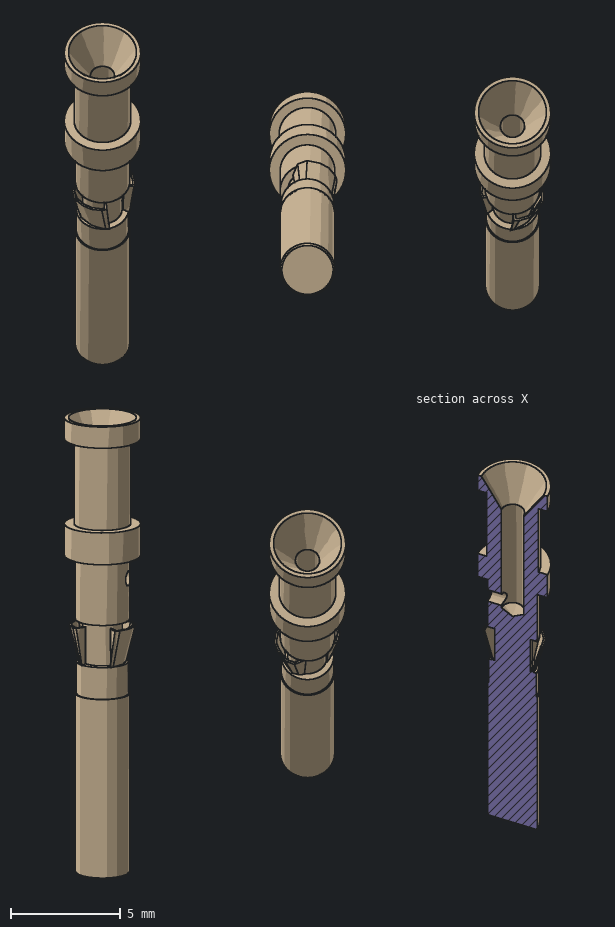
import math

import cadquery as cq

Z_BODY_TOP = 8.5
Z_COLLAR_TOP = 10.0
Z_FINGER_TOP = 11.75
Z_CORE_TOP = 12.0
Z_STOP_BOTTOM = 15.0
Z_STOP_TOP = 16.5
Z_RIM_BOTTOM = 20.5
Z_TOP = 21.5

BODY_D = 2.5
COLLAR_D = 2.4
CORE_D = 1.8
NECK_D = 2.5
BARREL_D = 2.6
FLANGE_D = 3.5
TIP_CHAMFER = 0.08

FUNNEL_D = 3.1
FUNNEL_ANGLE = 60.0
BORE_D = 1.1
BORE_FLOOR_Z = 13.5
DRILL_POINT_ANGLE = 118.0
INSPECTION_D = 0.7
INSPECTION_Z = 14.0

FINGER_WALL = 0.1
FINGER_GAP = 1.2
FINGER_BASE_CORNERS = [
    (-0.73, -0.60),
    (-0.60, -0.84),
    (-0.38, -1.04),
    (0.26, -1.06),
    (0.55, -0.96),
    (0.93, -0.78),
    (1.07, -0.67),
    (0.73, -0.60),
]
FINGER_TIP_CORNERS = [
    (-0.87, -0.60),
    (-0.81, -1.18),
    (-0.44, -1.46),
    (0.16, -1.50),
    (0.60, -1.40),
    (1.00, -1.12),
    (1.13, -0.92),
    (0.78, -0.60),
]


def cone_depth(large_d, small_d, included_angle):
    """Axial length of a cone between two diameters."""
    return (large_d - small_d) / 2 / math.tan(math.radians(included_angle / 2))


def turned_pin():
    """Stacked cylinders of the pin, with a chamfered tip."""
    steps = [
        (0, Z_BODY_TOP, BODY_D),
        (Z_BODY_TOP, Z_COLLAR_TOP, COLLAR_D),
        (Z_COLLAR_TOP, Z_CORE_TOP, CORE_D),
        (Z_CORE_TOP, Z_STOP_BOTTOM, NECK_D),
        (Z_STOP_BOTTOM, Z_STOP_TOP, FLANGE_D),
        (Z_STOP_TOP, Z_RIM_BOTTOM, BARREL_D),
        (Z_RIM_BOTTOM, Z_TOP, FLANGE_D),
    ]
    pin = cq.Workplane("XY")
    for bottom, top, diameter in steps:
        step = cq.Workplane("XY").workplane(offset=bottom).circle(diameter / 2).extrude(top - bottom)
        pin = pin.union(step)
    return pin.faces("<Z").edges().chamfer(TIP_CHAMFER)


def wire_entry():
    """Funnel, bore and drill point as one revolved cutter."""
    bore_top = Z_TOP - cone_depth(FUNNEL_D, BORE_D, FUNNEL_ANGLE)
    point_z = BORE_FLOOR_Z - cone_depth(BORE_D, 0, DRILL_POINT_ANGLE)
    return (
        cq.Workplane("XZ")
        .moveTo(0, point_z)
        .lineTo(BORE_D / 2, BORE_FLOOR_Z)
        .lineTo(BORE_D / 2, bore_top)
        .lineTo(FUNNEL_D / 2, Z_TOP)
        .lineTo(0, Z_TOP)
        .close()
        .revolve(360, (0, 0, 0), (0, 1, 0))
    )


def inspection_hole():
    """Radial hole from the +Y side into the bore."""
    return (
        cq.Workplane("XZ")
        .center(0, INSPECTION_Z)
        .circle(INSPECTION_D / 2)
        .extrude(-FLANGE_D / 2)
    )


def flared_prism(inset):
    """Ruled solid between the base and tip outlines of a leaf, shrunk by inset and closed along y = 0."""
    outlines = []
    for z, corners in ((Z_COLLAR_TOP, FINGER_BASE_CORNERS), (Z_FINGER_TOP, FINGER_TIP_CORNERS)):
        closing = [(corners[-1][0], 0), (corners[0][0], 0)]
        outline = cq.Workplane("XY").workplane(offset=z).polyline(corners + closing).close()
        if inset > 0:
            outline = outline.offset2D(-inset, "intersection")
        outlines.append(outline.val())
    return cq.Workplane(cq.Solid.makeLoft(outlines, True))


def front_finger():
    """Leaf on the -Y side: a thin flared shell ending at the gap between the leaves."""
    gap = cq.Workplane("XY").box(FLANGE_D, FINGER_GAP, 2 * Z_TOP)
    return flared_prism(0).cut(flared_prism(FINGER_WALL)).cut(gap)


pin = turned_pin().cut(wire_entry()).cut(inspection_hole())
finger = front_finger()
result = pin.union(finger).union(finger.mirror("XZ"))